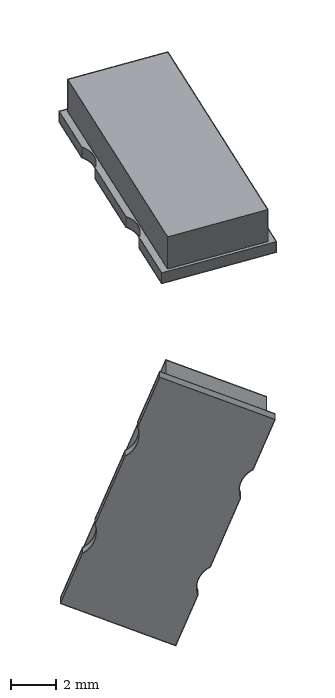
import cadquery as cq

base_length = 11.8
base_width = 5.5
base_height = 0.63

total_height = 2.5
lid_length = 11.5
lid_width = 4.8
lid_height = total_height - base_height

notch_spacing = 5.07
notch_chord = 1.5
notch_depth = 0.27


def notch_cutter(x, side):
    """Circular-segment cutter on the long edge at side * base_width / 2."""
    edge_y = side * base_width / 2
    return (
        cq.Workplane("XY")
        .moveTo(x - notch_chord / 2, edge_y)
        .threePointArc((x, edge_y - side * notch_depth), (x + notch_chord / 2, edge_y))
        .close()
        .extrude(base_height)
    )


base = cq.Workplane("XY").box(base_length, base_width, base_height, centered=(True, True, False))
for notch_x in (-notch_spacing / 2, notch_spacing / 2):
    for edge_side in (-1, 1):
        base = base.cut(notch_cutter(notch_x, edge_side))

lid = (
    cq.Workplane("XY")
    .workplane(offset=base_height)
    .box(lid_length, lid_width, lid_height, centered=(True, True, False))
)

result = base.union(lid)